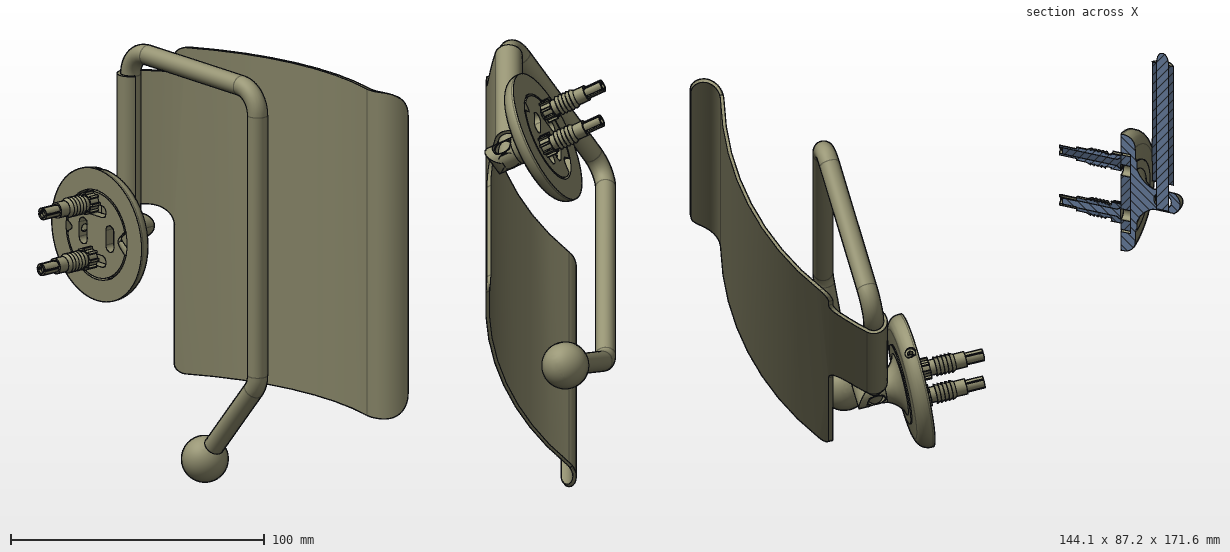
import cadquery as cq
import math


rod_radius = 4.0
bend_radius = 10.0
rod_top = 72.7
rod_span = 76.2
kink_height = -44.2
kink_angle = 40.0
tail_length = 45.6
rod_foot = -4.3
ball_radius = 9.3
ball_socket_depth = 6.0

sheet_thickness = 1.4
curl_end_angle = 340.0
cover_radius = 114.0
lip_radius = 9.87
lip_start_x = 104.2
sheet_top = 73.3
sheet_bottom = -60.8
sheet_left = 10.1
tab_top = 63.0
tab_bottom = 8.2
sheet_corner = 4.0
lip_corner = 10.0
tab_top_fillet = 3.0
tab_bottom_fillet = 8.0

wall_y = -17.8
rosette_radius = 27.0
rim_edge = 0.8
shoulder_radius = 22.2
shoulder_y = -11.6
disc_radius = 16.1
disc_y = -11.3
step_y = -10.8
flare_outer_radius = 12.5
flare_mid = (8.1, -8.1)
stem_radius = 5.6
stem_start_y = -4.0
stem_end_y = 7.6
eye_radius = 5.5
window_radius = 4.2
window_floor_x = -4.3
window_inner_radius = 3.6
recess_radius = 18.3
recess_depth = 4.0

plate_radius = 17.5
slot_width = 4.8
upright_slot_length = 10.8
upright_slot_x = 8.0
level_slot_length = 11.3
level_slot_z = 10.2
wide_seat_apex = 8.6
wide_seat_mouth = 5.8
narrow_seat_apex = 5.0
narrow_seat_mouth = 3.6

set_screw_radius = 2.1
set_screw_y = -15.0
set_screw_outer_z = 25.6
set_screw_socket = 2.4
set_screw_socket_depth = 3.0

anchor_places = [(-2.2, 13.2), (-3.0, -9.9)]
anchor_length = 26.3
anchor_body_radius = 3.1
anchor_body_length = 19.0
anchor_tip_radius = 2.4
collar_radius = 3.6
collar_length = 4.2
rib_count = 8
rib_reach = 4.5
rib_width = 0.9
barb_count = 5
barb_start = 6.6
barb_pitch = 1.6
barb_radius = 3.9
tip_slot_width = 0.6
screw_radius = 1.5
screw_head_radius = 2.6
screw_head_height = 1.6
screw_length = 25.0


def polar(center, radius, degrees):
    """Point at an angle on a circle."""
    angle = math.radians(degrees)
    return (center[0] + radius * math.cos(angle), center[1] + radius * math.sin(angle))


def wall_cylinder(radius, length, start_y):
    """Cylinder on the Y axis, running from start_y toward the wall (-Y)."""
    return cq.Workplane("XZ", origin=(0, start_y, 0)).circle(radius).extrude(length)


bend_z = rod_top - bend_radius
kink_center = (rod_span - bend_radius, kink_height)
kink_end = polar(kink_center, bend_radius, -kink_angle)
tail_direction = (-math.sin(math.radians(kink_angle)), -math.cos(math.radians(kink_angle)))
ball_center = (
    kink_end[0] + tail_length * tail_direction[0],
    kink_end[1] + tail_length * tail_direction[1],
)
rod_end_to_center = ball_radius - ball_socket_depth
rod_end = (
    ball_center[0] - rod_end_to_center * tail_direction[0],
    ball_center[1] - rod_end_to_center * tail_direction[1],
)


def make_rod():
    path = (
        cq.Workplane("XZ")
        .moveTo(0, rod_foot)
        .lineTo(0, bend_z)
        .threePointArc(polar((bend_radius, bend_z), bend_radius, 135), (bend_radius, rod_top))
        .lineTo(rod_span - bend_radius, rod_top)
        .threePointArc(
            polar((rod_span - bend_radius, bend_z), bend_radius, 45), (rod_span, bend_z)
        )
        .lineTo(rod_span, kink_height)
        .threePointArc(polar(kink_center, bend_radius, -kink_angle / 2), kink_end)
        .lineTo(*rod_end)
    )
    return cq.Workplane("XY", origin=(0, 0, rod_foot)).circle(rod_radius).sweep(path)


rod = make_rod()
ball = (
    cq.Workplane("XY", origin=(ball_center[0], 0, ball_center[1])).sphere(ball_radius).cut(rod)
)


def make_cover():
    half = sheet_thickness / 2
    curl_radius = rod_radius + half
    curl_angle = 135.0
    cover_center = polar((0, 0), cover_radius - curl_radius, curl_angle - 180)
    lip_angle = math.degrees(math.acos((lip_start_x - cover_center[0]) / cover_radius))
    lip_center = polar(cover_center, cover_radius + lip_radius, lip_angle)
    cover_mid_angle = (curl_angle + lip_angle) / 2
    lip_mid_angle = (lip_angle - 180) / 2
    curl_mid_angle = (curl_angle + curl_end_angle) / 2

    curl_in, curl_out = curl_radius - half, curl_radius + half
    cover_in, cover_out = cover_radius - half, cover_radius + half
    lip_in, lip_out = lip_radius - half, lip_radius + half
    bent_sheet = (
        cq.Workplane("XY", origin=(0, 0, sheet_bottom))
        .moveTo(*polar((0, 0), curl_out, curl_end_angle))
        .threePointArc(polar((0, 0), curl_out, curl_mid_angle), polar((0, 0), curl_out, curl_angle))
        .threePointArc(
            polar(cover_center, cover_out, cover_mid_angle),
            polar(cover_center, cover_out, lip_angle),
        )
        .threePointArc(polar(lip_center, lip_in, lip_mid_angle), polar(lip_center, lip_in, 0))
        .lineTo(*polar(lip_center, lip_out, 0))
        .threePointArc(
            polar(lip_center, lip_out, lip_mid_angle),
            polar(lip_center, lip_out, lip_angle - 180),
        )
        .threePointArc(
            polar(cover_center, cover_in, cover_mid_angle),
            polar(cover_center, cover_in, curl_angle),
        )
        .threePointArc(
            polar((0, 0), curl_in, curl_mid_angle), polar((0, 0), curl_in, curl_end_angle)
        )
        .close()
        .extrude(sheet_top - sheet_bottom)
    )

    panel_right = lip_center[0] + 2 * lip_radius
    tab_left = -2 * curl_out
    depth = 2 * lip_center[1]
    outline = (
        cq.Workplane("XZ", origin=(0, depth / 2, 0))
        .moveTo(tab_left, tab_bottom)
        .lineTo(tab_left, tab_top)
        .lineTo(sheet_left, tab_top)
        .lineTo(sheet_left, sheet_top)
        .lineTo(panel_right, sheet_top)
        .lineTo(panel_right, sheet_bottom)
        .lineTo(sheet_left, sheet_bottom)
        .lineTo(sheet_left, tab_bottom)
        .close()
        .extrude(depth, both=True)
    )

    def corner(z):
        return cq.selectors.BoxSelector(
            (sheet_left - 1, -2 * depth, z - 1), (sheet_left + 1, 2 * depth, z + 1)
        )

    for z, radius in (
        (sheet_top, sheet_corner),
        (sheet_bottom, sheet_corner),
        (tab_top, tab_top_fillet),
        (tab_bottom, tab_bottom_fillet),
    ):
        outline = outline.edges("|Y").edges(corner(z)).fillet(radius)

    height = sheet_top - sheet_bottom
    lip_outline = (
        cq.Workplane("XY", origin=(lip_center[0], 0, sheet_bottom))
        .box(2 * lip_radius, lip_center[1], height, centered=False)
        .edges("|X and >Y")
        .fillet(lip_corner)
    )
    panel_limit = cq.Workplane("XY", origin=(tab_left, -depth, sheet_bottom)).box(
        lip_center[0] - tab_left, 2 * depth, height, centered=False
    )
    return bent_sheet.intersect(outline).intersect(panel_limit.union(lip_outline))


cover = make_cover()


def make_set_screw():
    length = set_screw_outer_z - recess_radius
    return (
        cq.Workplane("XY", origin=(0, set_screw_y, recess_radius))
        .circle(set_screw_radius)
        .extrude(length)
        .faces(">Z")
        .workplane()
        .polygon(6, set_screw_socket)
        .cutBlind(-set_screw_socket_depth)
    )


def make_rosette():
    rim_y = wall_y + rim_edge
    rim_mid = (
        shoulder_radius + (rosette_radius - shoulder_radius) * math.sqrt(0.5),
        rim_y + (shoulder_y - rim_y) * math.sqrt(0.5),
    )
    turned = (
        cq.Workplane("XY")
        .moveTo(0, wall_y)
        .lineTo(rosette_radius, wall_y)
        .lineTo(rosette_radius, rim_y)
        .threePointArc(rim_mid, (shoulder_radius, shoulder_y))
        .lineTo(disc_radius, disc_y)
        .lineTo(disc_radius, step_y)
        .lineTo(flare_outer_radius, step_y)
        .threePointArc(flare_mid, (stem_radius, stem_start_y))
        .lineTo(stem_radius, stem_end_y)
        .lineTo(0, stem_end_y)
        .close()
        .revolve(360, (0, 0, 0), (0, 1, 0))
    )

    eye_y = stem_end_y - eye_radius
    end_block = cq.Workplane("XY", origin=(0, eye_y + eye_radius, 0)).box(
        4 * eye_radius, 2 * eye_radius, 4 * eye_radius
    )
    eye = cq.Workplane("YZ", origin=(0, eye_y, 0)).circle(eye_radius).extrude(2 * eye_radius, both=True)
    turned = turned.cut(end_block.cut(eye))

    window = (
        cq.Workplane("YZ", origin=(window_floor_x, 0, 0))
        .circle(window_radius)
        .extrude(-stem_radius)
    )
    window_bore = cq.Workplane("YZ").circle(window_inner_radius).extrude(-stem_radius)

    recess = wall_cylinder(recess_radius, recess_depth, wall_y + recess_depth)
    screw_hole = (
        cq.Workplane("XY", origin=(0, set_screw_y, 0))
        .circle(set_screw_radius)
        .extrude(2 * rosette_radius)
    )
    return turned.cut(window).cut(window_bore).cut(recess).cut(screw_hole).cut(rod)


def radial_cone(apex, mouth_radius, side):
    """Cone along X that widens from its apex to the plate's rim, on the +X (1) or -X (-1) side."""
    return cq.Workplane(
        cq.Solid.makeCone(
            0,
            mouth_radius,
            plate_radius - apex,
            cq.Vector(side * apex, set_screw_y, 0),
            cq.Vector(side, 0, 0),
        )
    )


def make_plate():
    plate = wall_cylinder(plate_radius, recess_depth, wall_y + recess_depth)
    back = cq.Workplane("XZ", origin=(0, wall_y + recess_depth, 0))
    upright_slots = (
        back.pushPoints([(-upright_slot_x, 0), (upright_slot_x, 0)])
        .slot2D(upright_slot_length, slot_width, 90)
        .extrude(recess_depth)
    )
    level_slots = (
        back.pushPoints([(0, -level_slot_z), (0, level_slot_z)])
        .slot2D(level_slot_length, slot_width)
        .extrude(recess_depth)
    )
    wide_seat = radial_cone(wide_seat_apex, wide_seat_mouth, 1)
    narrow_seat = radial_cone(narrow_seat_apex, narrow_seat_mouth, -1)
    return plate.cut(upright_slots).cut(level_slots).cut(wide_seat).cut(narrow_seat)


def make_screw():
    return (
        cq.Workplane("XY")
        .moveTo(0, wall_y)
        .lineTo(screw_head_radius, wall_y)
        .lineTo(screw_radius, wall_y - screw_head_height)
        .lineTo(screw_radius, wall_y - screw_length)
        .lineTo(0, wall_y - screw_length)
        .close()
        .revolve(360, (0, 0, 0), (0, 1, 0))
    )


def make_anchor(screw):
    anchor = wall_cylinder(anchor_tip_radius, anchor_length, wall_y)
    anchor = anchor.union(wall_cylinder(anchor_body_radius, anchor_body_length, wall_y))
    anchor = anchor.union(wall_cylinder(collar_radius, collar_length, wall_y))
    for i in range(rib_count // 2):
        rib = (
            cq.Workplane("XZ", origin=(0, wall_y, 0))
            .transformed(rotate=(0, 0, i * 360 / rib_count))
            .rect(2 * rib_reach, rib_width)
            .extrude(collar_length)
        )
        anchor = anchor.union(rib)
    for i in range(barb_count):
        barb = cq.Solid.makeCone(
            barb_radius,
            anchor_body_radius,
            barb_pitch,
            cq.Vector(0, wall_y - barb_start - i * barb_pitch, 0),
            cq.Vector(0, -1, 0),
        )
        anchor = anchor.union(cq.Workplane(barb))
    tip_length = anchor_length - anchor_body_length
    for size in ((2 * rib_reach, tip_slot_width), (tip_slot_width, 2 * rib_reach)):
        tip_slot = (
            cq.Workplane("XZ", origin=(0, wall_y - anchor_body_length, 0))
            .rect(*size)
            .extrude(tip_length)
        )
        anchor = anchor.cut(tip_slot)
    bore = wall_cylinder(screw_radius, anchor_length, wall_y)
    return anchor.cut(bore).cut(screw)


set_screw = make_set_screw()
rosette = make_rosette()
plate = make_plate()
screw = make_screw()
anchor = make_anchor(screw)
anchors = [anchor.translate((x, 0, z)) for x, z in anchor_places]
screws = [screw.translate((x, 0, z)) for x, z in anchor_places]

result = cq.Compound.makeCompound(
    [
        rod.val(),
        ball.val(),
        cover.val(),
        rosette.val(),
        plate.val(),
        set_screw.val(),
        *[body.val() for body in anchors],
        *[body.val() for body in screws],
    ]
)